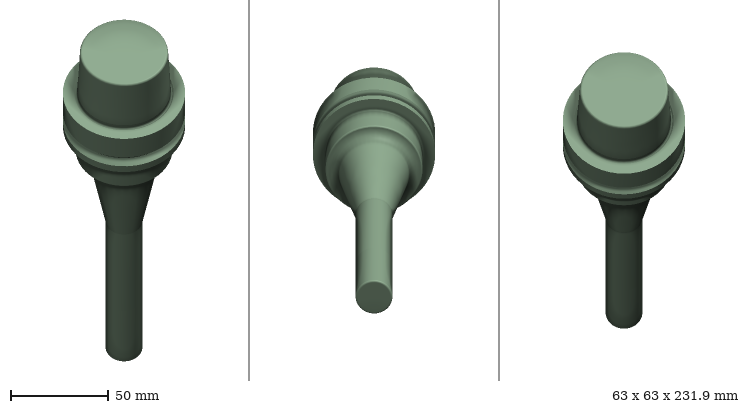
import cadquery as cq
import math


SHANK_LENGTH = 31.9
SHANK_TOP_RADIUS = 22.7
SHANK_BASE_RADIUS = 24.15
SHANK_BASE_Z = 2.2
SHANK_TOP_FILLET = 1.2

NECK_RADIUS = 24.0
NECK_TOP_Z = 1.5
NECK_FILLET = 0.9
RELIEF_DEPTH = 0.4
RELIEF_OUTER_RADIUS = 25.6

FLANGE_RADIUS = 63.0 / 2
FLANGE_THICKNESS = 26.0
GROOVE_CENTER_DEPTH = 18.0
GROOVE_WIDTH = 7.0
GROOVE_FLOOR_RADIUS = 27.75
GROOVE_SIDE_ANGLE = 30.0

BODY_RADIUS = 50.0 / 2
BODY_BOTTOM_Z = -45.0
BODY_TOP_FILLET = 1.0
BODY_BOTTOM_FILLET = 1.0

ARBOR_RADIUS = 19.0 / 2
ARBOR_BOTTOM_Z = -200.0
TIP_LENGTH = 40.0
TIP_FILLET = 1.0

CONE_BOTTOM_Z = -100.0
CONE_HALF_ANGLE = 10.0
BLEND_RADIUS = 6.0


def point_on_circle(center, radius, angle):
    """Point on a circle in the (radius, Z) plane, with the angle in degrees."""
    turn = math.radians(angle)
    return (center[0] + radius * math.cos(turn), center[1] + radius * math.sin(turn))


def draw_arc(outline, center, radius, start_angle, end_angle):
    """Line to the start of an arc, then the arc itself."""
    middle_angle = (start_angle + end_angle) / 2
    return outline.lineTo(*point_on_circle(center, radius, start_angle)).threePointArc(
        point_on_circle(center, radius, middle_angle),
        point_on_circle(center, radius, end_angle),
    )


def add_shank(outline):
    """Rounded top edge and taper, down to the undercut neck."""
    taper_height = SHANK_LENGTH - SHANK_BASE_Z
    taper_slope = (SHANK_BASE_RADIUS - SHANK_TOP_RADIUS) / taper_height
    taper_angle = math.atan(taper_slope)
    fillet_center = (
        SHANK_TOP_RADIUS + taper_slope * SHANK_TOP_FILLET - SHANK_TOP_FILLET / math.cos(taper_angle),
        SHANK_LENGTH - SHANK_TOP_FILLET,
    )
    outline = draw_arc(outline, fillet_center, SHANK_TOP_FILLET, 90, math.degrees(taper_angle))
    return outline.lineTo(SHANK_BASE_RADIUS, SHANK_BASE_Z).lineTo(NECK_RADIUS, NECK_TOP_Z)


def add_face_relief(outline):
    """Neck fillet running into the relief, then the flange face."""
    center = (NECK_RADIUS + NECK_FILLET, NECK_FILLET - RELIEF_DEPTH)
    outline = draw_arc(outline, center, NECK_FILLET, 180, 270)
    return outline.lineTo(RELIEF_OUTER_RADIUS, 0).lineTo(FLANGE_RADIUS, 0)


def add_flange(outline):
    """Flange rim with the gripper groove, down to the flange underside."""
    groove_depth = FLANGE_RADIUS - GROOVE_FLOOR_RADIUS
    side_height = groove_depth * math.tan(math.radians(GROOVE_SIDE_ANGLE))
    groove_top = -GROOVE_CENTER_DEPTH + GROOVE_WIDTH / 2
    groove_bottom = groove_top - GROOVE_WIDTH
    return (
        outline.lineTo(FLANGE_RADIUS, groove_top)
        .lineTo(GROOVE_FLOOR_RADIUS, groove_top - side_height)
        .lineTo(GROOVE_FLOOR_RADIUS, groove_bottom + side_height)
        .lineTo(FLANGE_RADIUS, groove_bottom)
        .lineTo(FLANGE_RADIUS, -FLANGE_THICKNESS)
    )


def add_body(outline):
    """Body with a concave fillet under the flange and a rounded lower edge."""
    top_center = (BODY_RADIUS + BODY_TOP_FILLET, -FLANGE_THICKNESS - BODY_TOP_FILLET)
    bottom_center = (BODY_RADIUS - BODY_BOTTOM_FILLET, BODY_BOTTOM_Z + BODY_BOTTOM_FILLET)
    outline = draw_arc(outline, top_center, BODY_TOP_FILLET, 90, 180)
    return draw_arc(outline, bottom_center, BODY_BOTTOM_FILLET, 0, -90)


def add_cone(outline):
    """Concave blend, tangent to the body underside and the cone, then the cone."""
    half_angle = math.radians(CONE_HALF_ANGLE)
    center_z = BODY_BOTTOM_Z - BLEND_RADIUS
    cone_radius = ARBOR_RADIUS + (center_z - CONE_BOTTOM_Z) * math.tan(half_angle)
    center = (cone_radius + BLEND_RADIUS / math.cos(half_angle), center_z)
    outline = draw_arc(outline, center, BLEND_RADIUS, 90, 180 - CONE_HALF_ANGLE)
    return outline.lineTo(ARBOR_RADIUS, CONE_BOTTOM_Z)


def add_arbor(outline):
    """Straight arbor, its face split where the tip section begins, with a rounded end."""
    center = (ARBOR_RADIUS - TIP_FILLET, ARBOR_BOTTOM_Z + TIP_FILLET)
    outline = outline.lineTo(ARBOR_RADIUS, ARBOR_BOTTOM_Z + TIP_LENGTH)
    return draw_arc(outline, center, TIP_FILLET, 0, -90).lineTo(0, ARBOR_BOTTOM_Z)


SECTIONS = (add_shank, add_face_relief, add_flange, add_body, add_cone, add_arbor)

profile = cq.Workplane("XZ").moveTo(0, SHANK_LENGTH)
for add_section in SECTIONS:
    profile = add_section(profile)

result = profile.close().revolve(360, (0, 0, 0), (0, 1, 0), clean=False)